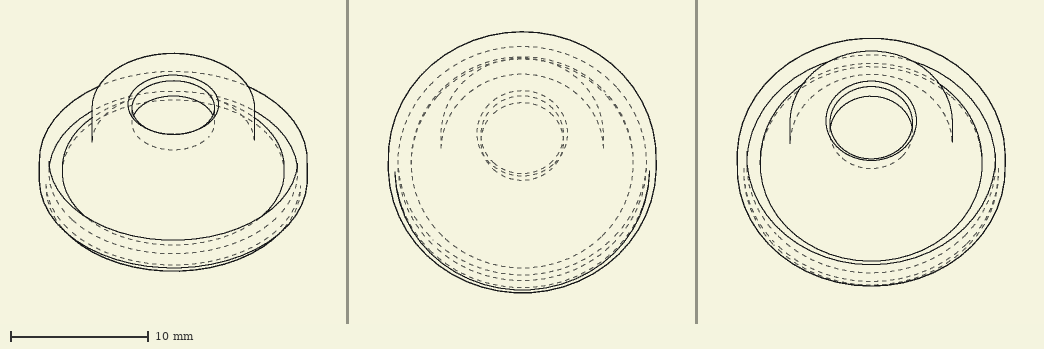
import cadquery as cq
import math

flange_radius = 9.75
total_height = 8.17
edge_radius = 0.3

spigot_radius = 9.26
spigot_blend_radius = 0.1
flange_bottom = 0.82
flange_bottom_fillet = 0.15

flange_top = 3.12
rim_inner_radius = 9.05
floor_height = 1.65

cone_base_radius = 8.07
hub_radius = 5.9
hub_bottom = 4.37
cone_base_height = hub_bottom - (cone_base_radius - hub_radius)
cone_blend_radius = 0.3

hole_radius = 3.0
hole_depth = 1.75
hole_chamfer = 0.3

match_tolerance = 0.0002


def circle_at(height, radius):
    """Return a test for the circular edge of one radius at one height."""
    def matches(edge):
        return (
            edge.geomType() == "CIRCLE"
            and math.isclose(edge.radius(), radius, abs_tol=match_tolerance)
            and math.isclose(edge.startPoint().z, height, abs_tol=match_tolerance)
        )
    return matches


def make_body():
    """Revolve the half section about the Z axis."""
    rim_fillet_height = flange_top - edge_radius
    corner = edge_radius * (1 - math.sqrt(0.5))
    return (
        cq.Workplane("XZ")
        .lineTo(spigot_radius - edge_radius, 0)
        .threePointArc(
            (spigot_radius - corner, corner),
            (spigot_radius, edge_radius),
        )
        .lineTo(spigot_radius, flange_bottom)
        .lineTo(flange_radius, flange_bottom)
        .lineTo(flange_radius, rim_fillet_height)
        .threePointArc(
            (flange_radius - corner, flange_top - corner),
            (flange_radius - edge_radius, flange_top),
        )
        .lineTo(rim_inner_radius + edge_radius, flange_top)
        .threePointArc(
            (rim_inner_radius + corner, flange_top - corner),
            (rim_inner_radius, rim_fillet_height),
        )
        .lineTo(rim_inner_radius, floor_height)
        .lineTo(cone_base_radius, floor_height)
        .lineTo(cone_base_radius, cone_base_height)
        .lineTo(hub_radius, hub_bottom)
        .lineTo(hub_radius, total_height - edge_radius)
        .threePointArc(
            (hub_radius - corner, total_height - corner),
            (hub_radius - edge_radius, total_height),
        )
        .lineTo(0, total_height)
        .close()
        .revolve(360, (0, 0, 0), (0, 1, 0))
        .edges().filter(circle_at(hub_bottom, hub_radius))
        .fillet(cone_blend_radius)
        .edges().filter(circle_at(cone_base_height, cone_base_radius))
        .fillet(cone_blend_radius)
        .edges().filter(circle_at(flange_bottom, spigot_radius))
        .fillet(spigot_blend_radius)
        .edges().filter(circle_at(flange_bottom, flange_radius))
        .fillet(flange_bottom_fillet)
    )


def make_hole():
    """Blind hole with a chamfered mouth, as a solid to cut away."""
    hole_bottom = total_height - hole_depth
    return (
        cq.Workplane("XZ")
        .moveTo(0, hole_bottom)
        .lineTo(hole_radius, hole_bottom)
        .lineTo(hole_radius, total_height - hole_chamfer)
        .lineTo(hole_radius + hole_chamfer, total_height)
        .lineTo(0, total_height)
        .close()
        .revolve(360, (0, 0, 0), (0, 1, 0))
    )


result = make_body().cut(make_hole())